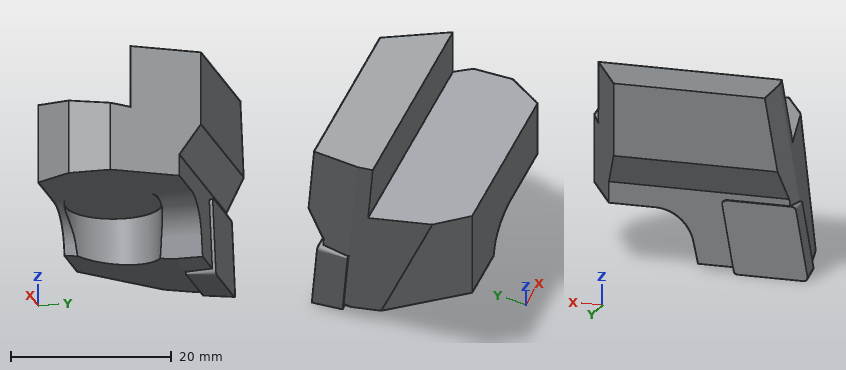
import cadquery as cq
import math


def tan(degrees):
    return math.tan(math.radians(degrees))


length = 30.55
depth = 20.07
height = 24.0
far = 3.05

nose_angle = 80.0
lead_angle = 90.0 - nose_angle
insert_side = 9.68
nose_radius = 0.52
clearance_angle = 7.0
seat_y = 14.15
insert_thickness = 3.97

top_left_x = 4.95
bottom_z = 0.75
seat_corner_radius = 0.37
underside_z = 7.58
arch_start_x = 19.98
arch_radius = 5.0
arch_lean = 12.0

bottom_slope = 6.0
step_y = 12.2
step_z = 16.05
front_top_z = 17.72
back_bevel_top_z = 14.57
seat_back_y = 17.65
seat_back_z = 10.35

front_left_x = 8.35
front_left_angle = 35.0
front_right_x = 27.9
back_right_x = 24.7
right_angle = 30.0
left_relief_angle = 9.7

recess_x = 17.72
recess_y = 7.03
recess_radius = 6.1


def make_insert():
    shift = insert_side * math.cos(math.radians(nose_angle))
    rise = insert_side * math.sin(math.radians(nose_angle))
    corner_x = nose_radius - nose_radius / tan(nose_angle / 2)
    face_y = seat_y + insert_thickness
    corners = [(0, 0), (insert_side, 0), (insert_side + shift, rise), (shift, rise)]
    outline = cq.Sketch().polygon(corners + corners[:1]).vertices().fillet(nose_radius)
    return (
        cq.Workplane("XZ", origin=(corner_x, face_y, 0))
        .placeSketch(outline)
        .extrude(insert_thickness, taper=clearance_angle)
    )


def front_outline():
    """Outline in XZ, extruded through the full depth."""
    bottom_left_x = top_left_x - (height - bottom_z) * tan(lead_angle)
    arch_z = underside_z - arch_radius

    def arch_point(degrees):
        angle = math.radians(degrees)
        return (arch_start_x + arch_radius * math.cos(angle), arch_z + arch_radius * math.sin(angle))

    arch_end = arch_point(180 - arch_lean)
    foot_x = arch_end[0] - (arch_end[1] - bottom_z) * tan(arch_lean)
    blank = (
        cq.Workplane("XZ")
        .moveTo(bottom_left_x, bottom_z)
        .lineTo(foot_x, bottom_z)
        .lineTo(*arch_end)
        .threePointArc(arch_point((270 - arch_lean) / 2), (arch_start_x, underside_z))
        .lineTo(length, underside_z)
        .lineTo(length, height)
        .lineTo(top_left_x, height)
        .close()
        .extrude(-depth)
    )
    return blank.edges("|Y").edges("<X").fillet(seat_corner_radius)


def side_outline():
    """Outline in YZ with the step, sloping bottom and back bevel."""
    return (
        cq.Workplane("YZ")
        .polyline([
            (0, bottom_z + seat_y * tan(bottom_slope)),
            (seat_y, bottom_z),
            (seat_back_y, bottom_z),
            (seat_back_y, seat_back_z),
            (depth, back_bevel_top_z),
            (depth, height),
            (step_y, height),
            (step_y, step_z),
            (0, front_top_z),
        ])
        .close()
        .extrude(length)
    )


def plan_outline():
    """Outline in XY with the three bevelled corners."""
    return (
        cq.Workplane("XY")
        .polyline([
            (front_left_x, 0),
            (front_right_x, 0),
            (length, (length - front_right_x) / tan(right_angle)),
            (length, depth - (length - back_right_x) / tan(right_angle)),
            (back_right_x, depth),
            (0, depth),
            (0, front_left_x / tan(front_left_angle)),
        ])
        .close()
        .extrude(height)
    )


def left_relief():
    """Wedge that slants the left face inward from the seat toward -Y."""
    top_z = height + far
    top_x = top_left_x + far * tan(lead_angle)
    base_x = top_left_x - height * tan(lead_angle)
    wedge = [(0, seat_y), (seat_y * tan(left_relief_angle), 0), (-length, 0), (-length, seat_y)]
    return (
        cq.Workplane("XY")
        .polyline([(base_x + x, y) for x, y in wedge])
        .close()
        .workplane(offset=top_z)
        .polyline([(top_x + x, y) for x, y in wedge])
        .close()
        .loft(ruled=True)
    )


def bottom_recess():
    return cq.Workplane("XY").center(recess_x, recess_y).circle(recess_radius).extrude(underside_z)


insert = make_insert()
holder = (
    front_outline()
    .intersect(side_outline())
    .intersect(plan_outline())
    .cut(left_relief())
    .cut(bottom_recess())
    .cut(insert)
)

result = cq.Compound.makeCompound([holder.val(), insert.val()])